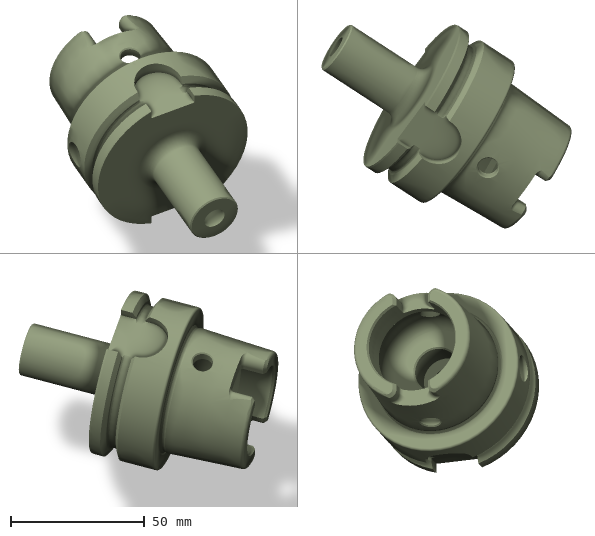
import cadquery as cq
import math

total_length = 91.9
taper_length = 32.0
flange_width = 25.7
flange_end_x = taper_length + flange_width

taper_front_radius = 22.8
taper_slope = 0.05
flange_radius = 31.5
shank_radius = 10.0

mouth_round = 1.2
flange_front_round = 0.8
flange_rear_taper_length = 0.6
flange_rear_taper_drop = 0.1
shank_root_fillet = 4.0
shank_end_chamfer = 0.5

relief_start_x = 30.05
relief_radius = 24.0
relief_floor_start_x = 30.8
relief_floor_end_x = 31.4
relief_face_depth = 0.3
relief_face_radius = 25.5
relief_face_chamfer = 0.5

groove_start_x = 46.5
groove_end_x = 53.2
groove_floor_radius = 27.5
groove_step_radius = 28.95
groove_flank_angle = 30.0
groove_floor_fillet = 0.7

bore_radius = 17.0
bore_chamfer = 0.55
bore_chamfer_angle = 30.0
bore_end_x = 13.0
undercut_radius = 20.0
undercut_flank_angle = 60.0
cavity_floor_x = 30.0
cavity_floor_fillet = 4.3
tube_seat_radius = 8.5
tube_seat_chamfer = 0.55
tube_seat_depth = 11.0
through_hole_diameter = 8.5

slot_half_width = 6.25
slot_edge_round = 2.9
slot_shoulder_slope = 21.0
slot_shoulder_height = 20.95
slot_floor_fillet = 1.4
slot_mouth_chamfer = 1.2
slot_depth_top = 10.0
slot_depth_bottom = 6.25

notch_half_width = 9.0
notch_floor_height = 26.5
notch_start_x = 36.8

access_hole_x = 22.8
access_hole_diameter = 7.5
access_hole_rim_diameter = 8.5
pocket_x = 38.9
pocket_diameter = 10.0
pocket_depth = 4.6
pocket_floor_fillet = 0.4


def taper_radius(x):
    return taper_front_radius + taper_slope * x


def make_body():
    """Revolve the outer outline: taper, relief, grooved flange and shank."""
    flank_run = (flange_radius - groove_step_radius) * math.tan(math.radians(groove_flank_angle))
    step_front_x = groove_start_x + flank_run
    step_rear_x = groove_end_x - flank_run
    relief_face_x = taper_length + relief_face_depth
    round_mid = math.sqrt(0.5)
    root_end_x = flange_end_x + shank_root_fillet
    root_mid = shank_root_fillet * (1 - round_mid)
    outline = (
        cq.Workplane("XY")
        .moveTo(0, 0)
        .lineTo(0, taper_front_radius - mouth_round)
        .threePointArc(
            (mouth_round * (1 - round_mid), taper_front_radius - mouth_round * (1 - round_mid)),
            (mouth_round, taper_radius(mouth_round)),
        )
        .lineTo(relief_start_x, taper_radius(relief_start_x))
        .lineTo(relief_floor_start_x, relief_radius)
        .lineTo(relief_floor_end_x, relief_radius)
        .lineTo(relief_face_x, relief_radius + relief_face_x - relief_floor_end_x)
        .lineTo(relief_face_x, relief_face_radius - relief_face_chamfer)
        .lineTo(taper_length, relief_face_radius)
        .lineTo(taper_length, flange_radius - flange_front_round)
        .threePointArc(
            (
                taper_length + flange_front_round * (1 - round_mid),
                flange_radius - flange_front_round * (1 - round_mid),
            ),
            (taper_length + flange_front_round, flange_radius),
        )
        .lineTo(groove_start_x, flange_radius)
        .lineTo(step_front_x, groove_step_radius)
        .lineTo(step_front_x, groove_floor_radius + groove_floor_fillet)
        .radiusArc((step_front_x + groove_floor_fillet, groove_floor_radius), -groove_floor_fillet)
        .lineTo(step_rear_x - groove_floor_fillet, groove_floor_radius)
        .radiusArc((step_rear_x, groove_floor_radius + groove_floor_fillet), -groove_floor_fillet)
        .lineTo(step_rear_x, groove_step_radius)
        .lineTo(groove_end_x, flange_radius)
        .lineTo(flange_end_x - flange_rear_taper_length, flange_radius)
        .lineTo(flange_end_x, flange_radius - flange_rear_taper_drop)
        .lineTo(flange_end_x, shank_radius + shank_root_fillet)
        .threePointArc(
            (flange_end_x + root_mid, shank_radius + root_mid),
            (root_end_x, shank_radius),
        )
        .lineTo(total_length - shank_end_chamfer, shank_radius)
        .lineTo(total_length, shank_radius - shank_end_chamfer)
        .lineTo(total_length, 0)
        .close()
    )
    return outline.revolve(360, (0, 0, 0), (1, 0, 0))


def make_cavity():
    """Clamping bore with undercut, coolant tube seat and axial through hole."""
    flank_run = (undercut_radius - bore_radius) / math.tan(math.radians(undercut_flank_angle))
    chamfer_run = bore_chamfer / math.tan(math.radians(bore_chamfer_angle))
    fillet_mid = cavity_floor_fillet * (1 - math.sqrt(0.5))
    outline = (
        cq.Workplane("XY")
        .moveTo(0, 0)
        .lineTo(0, bore_radius + bore_chamfer)
        .lineTo(chamfer_run, bore_radius)
        .lineTo(bore_end_x, bore_radius)
        .lineTo(bore_end_x + flank_run, undercut_radius)
        .lineTo(cavity_floor_x - cavity_floor_fillet, undercut_radius)
        .threePointArc(
            (cavity_floor_x - fillet_mid, undercut_radius - fillet_mid),
            (cavity_floor_x, undercut_radius - cavity_floor_fillet),
        )
        .lineTo(cavity_floor_x, tube_seat_radius + tube_seat_chamfer)
        .lineTo(cavity_floor_x + tube_seat_chamfer, tube_seat_radius)
        .lineTo(cavity_floor_x + tube_seat_depth, tube_seat_radius)
        .lineTo(cavity_floor_x + tube_seat_depth, through_hole_diameter / 2)
        .lineTo(total_length, through_hole_diameter / 2)
        .lineTo(total_length, 0)
        .close()
    )
    return outline.revolve(360, (0, 0, 0), (1, 0, 0))


def slot_outline(growth):
    """YZ section of a drive slot, widened by growth; its edges roll over into sloping shoulders."""
    edge_round = slot_edge_round - growth
    half_width = slot_half_width + growth
    center_y = slot_half_width + slot_edge_round
    center_z = slot_shoulder_height - slot_edge_round
    slope = math.radians(slot_shoulder_slope)
    round_end_y = center_y + edge_round * math.sin(slope)
    round_end_z = center_z + edge_round * math.cos(slope)
    reach = 1.5 * taper_front_radius
    reach_z = round_end_z - (reach - round_end_y) * math.tan(slope)
    bottom = 0.5 * bore_radius
    return (
        cq.Workplane("YZ")
        .moveTo(-half_width, bottom)
        .lineTo(half_width, bottom)
        .lineTo(half_width, center_z)
        .radiusArc((round_end_y, round_end_z), edge_round)
        .lineTo(reach, reach_z)
        .lineTo(reach, reach)
        .lineTo(-reach, reach)
        .lineTo(-reach, reach_z)
        .lineTo(-round_end_y, round_end_z)
        .radiusArc((-half_width, center_z), edge_round)
        .close()
    )


def make_drive_slot(depth):
    """Cutter for one drive slot on the +Z side, with filleted floor and chamfered mouth."""
    slot = slot_outline(0).extrude(depth).faces(">X").edges().fillet(slot_floor_fillet)
    wide_wire = slot_outline(slot_mouth_chamfer).val()
    narrow_wire = slot_outline(0).val().translate(cq.Vector(slot_mouth_chamfer, 0, 0))
    mouth = cq.Solid.makeLoft([wide_wire, narrow_wire], True)
    return slot.union(cq.Workplane(mouth))


def make_notch():
    """Cutter for one flange notch on the +Z side, round at its front end."""
    center_x = notch_start_x + notch_half_width
    length = total_length - center_x
    height = flange_radius - notch_floor_height + 0.9
    base = cq.Workplane("XY").workplane(offset=notch_floor_height)
    round_end = base.center(center_x, 0).circle(notch_half_width).extrude(height)
    straight = (
        base.center(center_x + length / 2, 0).rect(length, 2 * notch_half_width).extrude(height)
    )
    return round_end.union(straight)


def drill_access_holes(part):
    """Cross drill the taper on both Z sides and chamfer the outer rims."""
    hole_radius = access_hole_diameter / 2
    rim_chamfer = (access_hole_rim_diameter - access_hole_diameter) / 2
    drill = (
        cq.Workplane("XY", origin=(access_hole_x, 0, -flange_radius))
        .circle(hole_radius)
        .extrude(2 * flange_radius)
    )
    drilled = part.cut(drill)
    for side in (-1, 1):
        rim = cq.selectors.BoxSelector(
            (access_hole_x - 2 * hole_radius, -2 * hole_radius, side * undercut_radius * 1.1),
            (access_hole_x + 2 * hole_radius, 2 * hole_radius, side * flange_radius),
        )
        drilled = drilled.edges(rim).chamfer(rim_chamfer)
    return drilled


def make_pocket():
    """Cutter for the round blind pocket in the -Y side of the flange."""
    floor_y = -(flange_radius - pocket_depth)
    return (
        cq.Workplane("XZ", origin=(pocket_x, floor_y, 0))
        .circle(pocket_diameter / 2)
        .extrude(2 * pocket_depth)
        .faces(">Y")
        .edges()
        .fillet(pocket_floor_fillet)
    )


def opposite(cutter):
    """Turn a +Z cutter half a turn about the axis to the -Z side."""
    return cutter.rotate((0, 0, 0), (1, 0, 0), 180)


result = make_body().cut(make_cavity())
result = result.cut(make_drive_slot(slot_depth_top))
result = result.cut(opposite(make_drive_slot(slot_depth_bottom)))
result = result.cut(make_notch()).cut(opposite(make_notch()))
result = drill_access_holes(result)
result = result.cut(make_pocket())